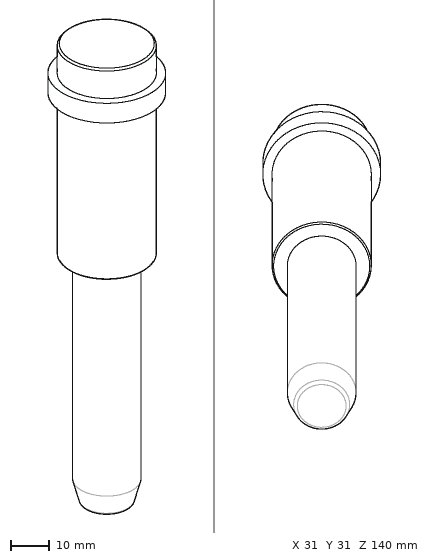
import cadquery as cq
import math

total_length = 140.0
flange_diameter = 31.0
body_diameter = 26.0
pin_diameter = 18.0

head_length = 9.0
flange_thickness = 6.0
pin_length = 75.5
tip_length = 7.0

tip_angle = 15.0
head_chamfer = 0.5
shoulder_chamfer = 0.4
tip_fillet = 1.0

body_radius = body_diameter / 2
pin_radius = pin_diameter / 2
tip_radius = pin_radius - tip_length * math.tan(math.radians(tip_angle))
flange_top = total_length - head_length


def make_pin():
    """Straight pin with a tapered, rounded lead-in tip standing on Z = 0."""
    outline = [
        (0, 0),
        (tip_radius, 0),
        (pin_radius, tip_length),
        (pin_radius, pin_length),
        (0, pin_length),
    ]
    pin = cq.Workplane("XZ").polyline(outline).close().revolve(360, (0, 0), (0, 1))
    return pin.faces("<Z").edges().fillet(tip_fillet)


def make_body():
    """Thicker shank from the end of the pin to the top, chamfered at both ends."""
    body = cq.Workplane("XY").workplane(offset=pin_length)
    body = body.circle(body_radius).extrude(total_length - pin_length)
    body = body.faces(">Z").edges().chamfer(head_chamfer)
    return body.faces("<Z").edges().chamfer(shoulder_chamfer)


def make_flange():
    """Collar around the shank, just below the head."""
    flange = cq.Workplane("XY").workplane(offset=flange_top - flange_thickness)
    return flange.circle(flange_diameter / 2).extrude(flange_thickness)


result = make_pin().union(make_body()).union(make_flange())